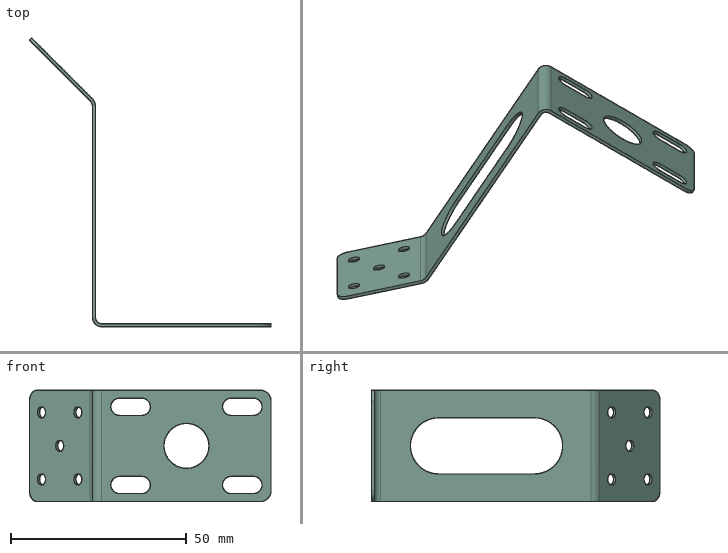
import cadquery as cq
import math

thickness = 0.9144
width = 31.75
corner_radius = 3.175

base_length = 50.8
wall_length = 63.5
tab_length = 25.4
tab_angle = 45.0

base_bend_radius = 2.63
tab_bend_radius = 2.5

base_hole_diameter = 12.7
base_slot_length = 11.176
base_slot_width = 4.826
base_slot_pitch_x = 31.75
base_slot_pitch_z = 22.225

wall_slot_position = 32.75
wall_slot_length = 43.18
wall_slot_width = 15.875

tab_hole_diameter = 3.175
tab_hole_pitch_along = 14.6
tab_hole_pitch_z = 19.05

tab_bend_setback = tab_bend_radius * math.tan(math.radians(tab_angle / 2))

base_center = (base_bend_radius + base_length) / 2
tab_center = (tab_bend_setback + tab_length) / 2

tab_radians = math.radians(tab_angle)
tab_direction = (-math.sin(tab_radians), math.cos(tab_radians), 0)
tab_normal = (-math.cos(tab_radians), -math.sin(tab_radians), 0)
tab_root = (0, wall_length, 0)
base_plane = cq.Plane(origin=(0, 0, 0), xDir=(1, 0, 0), normal=(0, -1, 0))
wall_plane = cq.Plane(origin=(0, 0, 0), xDir=(0, 1, 0), normal=(-1, 0, 0))
tab_plane = cq.Plane(origin=tab_root, xDir=tab_direction, normal=tab_normal)


def on_leg(plane, distance):
    """Workplane on a leg's outer face, on its centre line at a distance along it."""
    return cq.Workplane(plane).center(distance, 0)


def leg(plane, start, end):
    """Flat stretch of sheet between two distances along a leg."""
    return on_leg(plane, (start + end) / 2).rect(end - start, width).extrude(-thickness)


def bend(center, radius_1, radius_2, start_angle, sweep):
    """Curved stretch of sheet between two radii about a vertical axis; angles in degrees."""

    def point(radius, angle):
        radians = math.radians(angle)
        return (center[0] + radius * math.cos(radians), center[1] + radius * math.sin(radians))

    middle = start_angle + sweep / 2
    end = start_angle + sweep
    return (
        cq.Workplane("XY", origin=(0, 0, -width / 2))
        .moveTo(*point(radius_1, start_angle))
        .threePointArc(point(radius_1, middle), point(radius_1, end))
        .lineTo(*point(radius_2, end))
        .threePointArc(point(radius_2, middle), point(radius_2, start_angle))
        .close()
        .extrude(width)
    )


def bent_sheet():
    """Base, wall and tab joined by their bends, with the free corners rounded."""
    wall_end = wall_length - tab_bend_setback
    base = leg(base_plane, base_bend_radius, base_length)
    base = base.edges("|Y and >X").fillet(corner_radius)
    wall = leg(wall_plane, base_bend_radius, wall_end)
    tab = leg(tab_plane, tab_bend_setback, tab_length)
    tab = round_tab_corners(tab)
    base_bend_center = (base_bend_radius, base_bend_radius)
    base_bend = bend(base_bend_center, base_bend_radius, base_bend_radius - thickness, 180, 90)
    tab_bend_center = (-tab_bend_radius, wall_end)
    tab_bend = bend(tab_bend_center, tab_bend_radius, tab_bend_radius + thickness, 0, tab_angle)
    return base.union(base_bend).union(wall).union(tab_bend).union(tab)


def round_tab_corners(tab):
    """Round the two corners at the free end of the tab."""
    free_end = cq.Vector(*tab_direction)
    end_face = tab.faces(cq.selectors.DirectionMinMaxSelector(free_end))
    across_sheet = cq.selectors.ParallelDirSelector(cq.Vector(*tab_normal))
    return end_face.edges(across_sheet).fillet(corner_radius)


def cut_through(sheet, cutout):
    """Cut sketched wires straight through the sheet under their plane."""
    return sheet.cut(cutout.extrude(-thickness))


def cut_base(sheet):
    """Round hole and four corner slots in the base."""
    hole = on_leg(base_plane, base_center).circle(base_hole_diameter / 2)
    slot_places = on_leg(base_plane, base_center).rarray(base_slot_pitch_x, base_slot_pitch_z, 2, 2)
    slots = slot_places.slot2D(base_slot_length, base_slot_width)
    return cut_through(cut_through(sheet, hole), slots)


def cut_wall(sheet):
    """Long slot in the wall."""
    slot = on_leg(wall_plane, wall_slot_position).slot2D(wall_slot_length, wall_slot_width)
    return cut_through(sheet, slot)


def cut_tab(sheet):
    """Five small holes in the tab."""
    middle_hole = on_leg(tab_plane, tab_center).circle(tab_hole_diameter / 2)
    outer_places = on_leg(tab_plane, tab_center).rarray(tab_hole_pitch_along, tab_hole_pitch_z, 2, 2)
    outer_holes = outer_places.circle(tab_hole_diameter / 2)
    return cut_through(cut_through(sheet, middle_hole), outer_holes)


result = cut_tab(cut_wall(cut_base(bent_sheet())))